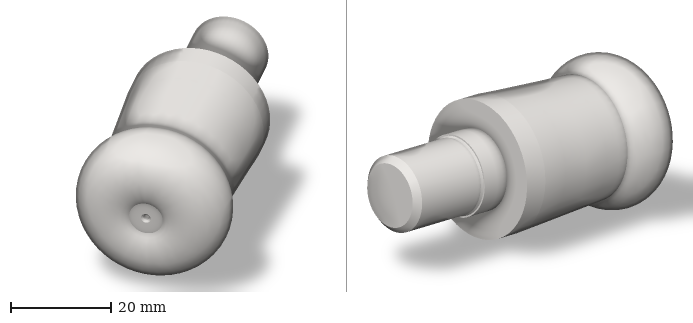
import cadquery as cq
import math

total_length = 67.0
head_radius = 16.0
head_round = 8.0
dimple_radius = 3.5
neck_small_radius = 13.05
flange_radius = 14.5
flange_length = 5.0
collar_radius = 8.6
collar_length = 6.0
root_radius = 8.25
root_length = 0.55
shank_radius = 8.0
shank_length = 17.4
shank_chamfer = 1.35

hole_radius = 0.6
hole_mouth_radius = 1.0
hole_depth = 2.0
drill_point_angle = 120.0

front_y = -total_length / 2
back_y = total_length / 2
root_y = back_y - shank_length
collar_y = root_y - root_length
flange_back_y = collar_y - collar_length
flange_front_y = flange_back_y - flange_length

ring_radius = head_radius - head_round
ring_y = front_y + head_round
dimple_y = ring_y - math.sqrt(head_round**2 - (ring_radius - dimple_radius) ** 2)
neck_y = ring_y + math.sqrt(head_round**2 - (neck_small_radius - ring_radius) ** 2)


def revolve(outline):
    """Turn a closed half outline, drawn as (radius, y), about the Y axis."""
    return outline.close().revolve(360, (0, 0, 0), (0, 1, 0))


def make_body():
    return revolve(
        cq.Workplane("ZY")
        .moveTo(0, dimple_y)
        .lineTo(dimple_radius, dimple_y)
        .threePointArc((head_radius, ring_y), (neck_small_radius, neck_y))
        .lineTo(flange_radius, flange_front_y)
        .lineTo(flange_radius, flange_back_y)
        .lineTo(collar_radius, flange_back_y)
        .lineTo(collar_radius, collar_y)
        .lineTo(root_radius, collar_y)
        .lineTo(shank_radius, root_y)
        .lineTo(shank_radius, back_y - shank_chamfer)
        .lineTo(shank_radius - shank_chamfer, back_y)
        .lineTo(0, back_y)
    )


def make_centre_hole():
    countersink_depth = hole_mouth_radius - hole_radius
    point_depth = hole_radius / math.tan(math.radians(drill_point_angle / 2))
    return revolve(
        cq.Workplane("ZY")
        .moveTo(0, dimple_y)
        .lineTo(hole_mouth_radius, dimple_y)
        .lineTo(hole_radius, dimple_y + countersink_depth)
        .lineTo(hole_radius, dimple_y + hole_depth)
        .lineTo(0, dimple_y + hole_depth + point_depth)
    )


result = make_body().cut(make_centre_hole())